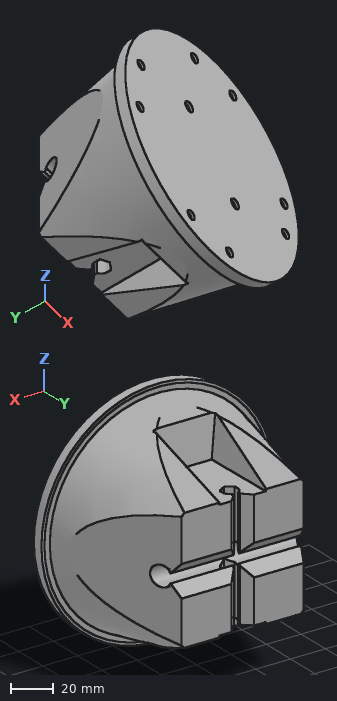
import cadquery as cq
import math

OUTER_DIAMETER = 133.5
TOTAL_LENGTH = 76.0
LID_THICKNESS = 6.4
BASE_DISC_DIAMETER = 130.0
LID_WALL = (OUTER_DIAMETER - BASE_DISC_DIAMETER) / 2
HOUSING_LENGTH = TOTAL_LENGTH - LID_THICKNESS

CONE_FRONT_RADIUS = 61.9
CONE_BACK_RADIUS = 48.3

FLAT_BACK_OFFSET = 35.0
FLAT_ANGLE = 23.2

POCKET_FLOOR_HEIGHT = 33.9
POCKET_FLOOR_LENGTH = 43.6
POCKET_FLOOR_BACK_WIDTH = 26.3
POCKET_FLOOR_FRONT_WIDTH = 25.2
POCKET_SIDE_LEAN = 5.2
POCKET_END_LEAN = 4.5

KEYHOLE_DEPTH = 10.3

ROUND_BORE_RADIUS = 5.7
ROUND_MOUTH_WIDTH = 17.9
ROUND_THROAT_WIDTH = 5.2
ROUND_THROAT_DEPTH = 5.6
ROUND_LIP_DEPTH = 6.7

POINTED_BORE_RADIUS = 4.3
POINTED_MOUTH_WIDTH = 13.1
POINTED_MOUTH_DEPTH = 6.5
NECK_WIDTH = 3.6

RIM_HOLE_DIAMETER = 5.2
RIM_CIRCLE_RADIUS = 56.9
RIM_HOLE_SPREAD = 15.0
KEYED_HOLE_SPREAD = 5.0
INNER_HOLE_DIAMETER = 5.7
INNER_CIRCLE_RADIUS = 25.5
INNER_HOLE_ANGLE = 135.0
PATTERN_TURN = -1.3


def make_cone():
    """Truncated cone with its wide end on the base disc."""
    profile = [
        (0, LID_THICKNESS),
        (CONE_FRONT_RADIUS, LID_THICKNESS),
        (CONE_BACK_RADIUS, TOTAL_LENGTH),
        (0, TOTAL_LENGTH),
    ]
    return cq.Workplane("XY").polyline(profile).close().revolve(360, (0, 0, 0), (0, 1, 0))


def make_flat_envelope():
    """Square frustum whose four sloping sides are the flats."""
    back_side = 2 * FLAT_BACK_OFFSET
    return (
        cq.Workplane("XZ", origin=(0, TOTAL_LENGTH, 0))
        .rect(back_side, back_side)
        .extrude(HOUSING_LENGTH, taper=-FLAT_ANGLE)
    )


def pocket_outline(side_lean, end_lean):
    """Pocket outline in plan, with its sides and its end moved outwards from the floor."""
    back_half = POCKET_FLOOR_BACK_WIDTH / 2 + side_lean
    front_half = POCKET_FLOOR_FRONT_WIDTH / 2 + side_lean
    front_y = TOTAL_LENGTH - POCKET_FLOOR_LENGTH - end_lean
    return [
        (-back_half, TOTAL_LENGTH),
        (-front_half, front_y),
        (front_half, front_y),
        (back_half, TOTAL_LENGTH),
    ]


def make_pocket():
    """Pocket from its level floor up to where its end wall meets the +Z flat."""
    rim_length = POCKET_FLOOR_LENGTH + POCKET_END_LEAN
    rim_height = FLAT_BACK_OFFSET + rim_length * math.tan(math.radians(FLAT_ANGLE))
    return (
        cq.Workplane("XY", origin=(0, 0, POCKET_FLOOR_HEIGHT))
        .polyline(pocket_outline(0, 0))
        .close()
        .workplane(offset=rim_height - POCKET_FLOOR_HEIGHT)
        .polyline(pocket_outline(POCKET_SIDE_LEAN, POCKET_END_LEAN))
        .close()
        .loft(ruled=True)
    )


def make_round_keyhole():
    """Bore along X; a V-shaped mouth narrows to a throat, then flat lips widen into the bore."""
    centre_y = TOTAL_LENGTH - KEYHOLE_DEPTH
    throat_y = TOTAL_LENGTH - ROUND_THROAT_DEPTH
    lip_y = TOTAL_LENGTH - ROUND_LIP_DEPTH
    mouth_half = ROUND_MOUTH_WIDTH / 2
    throat_half = ROUND_THROAT_WIDTH / 2
    lip_half = math.sqrt(ROUND_BORE_RADIUS**2 - (lip_y - centre_y) ** 2)
    return (
        cq.Workplane("YZ")
        .moveTo(TOTAL_LENGTH, mouth_half)
        .lineTo(throat_y, throat_half)
        .lineTo(lip_y, lip_half)
        .threePointArc((centre_y - ROUND_BORE_RADIUS, 0), (lip_y, -lip_half))
        .lineTo(throat_y, -throat_half)
        .lineTo(TOTAL_LENGTH, -mouth_half)
        .close()
        .extrude(OUTER_DIAMETER / 2, both=True)
    )


def make_pointed_keyhole():
    """Bore along Z with a pointed end, a narrow neck and a V-shaped mouth in the back face."""
    centre_y = TOTAL_LENGTH - KEYHOLE_DEPTH
    corner_radius = POINTED_BORE_RADIUS / math.cos(math.radians(30))
    side_y = centre_y - corner_radius / 2
    plane = cq.Workplane("XY")
    bore = (
        plane.moveTo(POINTED_BORE_RADIUS, centre_y)
        .threePointArc((0, centre_y + POINTED_BORE_RADIUS), (-POINTED_BORE_RADIUS, centre_y))
        .lineTo(-POINTED_BORE_RADIUS, side_y)
        .lineTo(0, centre_y - corner_radius)
        .lineTo(POINTED_BORE_RADIUS, side_y)
        .close()
        .extrude(OUTER_DIAMETER / 2, both=True)
    )
    neck = (
        plane.center(0, TOTAL_LENGTH - KEYHOLE_DEPTH / 2)
        .rect(NECK_WIDTH, KEYHOLE_DEPTH)
        .extrude(OUTER_DIAMETER / 2, both=True)
    )
    mouth_outline = [
        (POINTED_MOUTH_WIDTH / 2, TOTAL_LENGTH),
        (0, TOTAL_LENGTH - POINTED_MOUTH_DEPTH),
        (-POINTED_MOUTH_WIDTH / 2, TOTAL_LENGTH),
    ]
    mouth = plane.polyline(mouth_outline).close().extrude(OUTER_DIAMETER / 2, both=True)
    return bore.union(neck).union(mouth)


def make_housing():
    """Cone with four flats, two pockets and two crossing keyholes."""
    pocket = make_pocket()
    return (
        make_cone()
        .intersect(make_flat_envelope())
        .cut(pocket)
        .cut(pocket.mirror("XY"))
        .cut(make_round_keyhole())
        .cut(make_pointed_keyhole())
    )


def make_face_holes(circle_radius, angles, diameter):
    """Cutters through the lid's face, at the given angles on one circle."""
    centres = []
    for angle in angles:
        turned = math.radians(angle + PATTERN_TURN)
        centres.append((circle_radius * math.cos(turned), circle_radius * math.sin(turned)))
    return cq.Workplane("XZ").pushPoints(centres).circle(diameter / 2).extrude(-LID_WALL)


def make_base_disc():
    """Disc that fills the lid and carries the housing."""
    return (
        cq.Workplane("XZ", origin=(0, LID_WALL, 0))
        .circle(BASE_DISC_DIAMETER / 2)
        .extrude(LID_WALL - LID_THICKNESS)
    )


def make_lid():
    """Cap around the base disc, with four pairs of rim holes, one pair keyed, and two inner holes."""
    rim_angles = [RIM_HOLE_SPREAD, -KEYED_HOLE_SPREAD]
    for pair_angle in (90, 180, 270):
        rim_angles += [pair_angle + RIM_HOLE_SPREAD, pair_angle - RIM_HOLE_SPREAD]
    inner_angles = [INNER_HOLE_ANGLE, INNER_HOLE_ANGLE + 180]
    return (
        cq.Workplane("XZ")
        .circle(OUTER_DIAMETER / 2)
        .extrude(-LID_THICKNESS)
        .cut(make_base_disc())
        .cut(make_face_holes(RIM_CIRCLE_RADIUS, rim_angles, RIM_HOLE_DIAMETER))
        .cut(make_face_holes(INNER_CIRCLE_RADIUS, inner_angles, INNER_HOLE_DIAMETER))
    )


housing = make_housing()
base_disc = make_base_disc()
lid = make_lid()

result = cq.Compound.makeCompound([housing.val(), base_disc.val(), lid.val()])